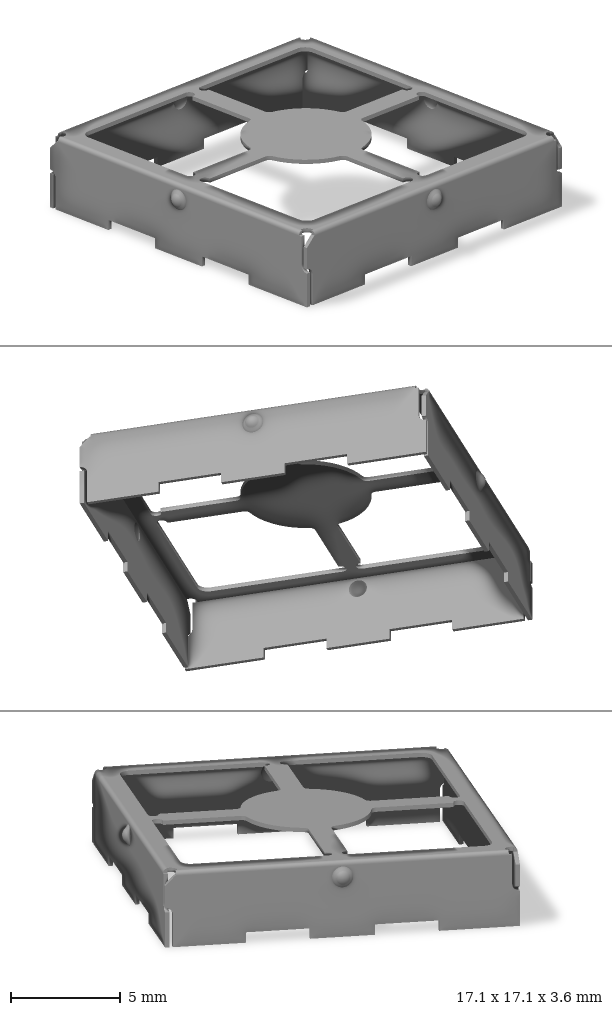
import cadquery as cq
import math


overall_width = 17.1
body_width = 16.5
height = 3.6
sheet = 0.2
half_body = body_width / 2
half_roof = half_body - sheet
bend_base = height - sheet

rim_width = 1.0
opening_radius = 0.5
arm_width = 1.06
neck_width = 0.46
neck_slot_width = 0.5
disc_radius = 3.0
disc_blend = 0.25

relief_radius = 0.3
relief_inset = 0.3
bend_setback = 0.51

wall_setback = 0.36
upper_tab_base = 1.88
lower_tab_top = 1.68
tab_chamfer = 0.46
step_radius = 0.35
foot_gap_inner = 1.5
foot_gap_outer = 4.5
foot_gap_height = 0.5

boss_height = (overall_width - body_width) / 2
boss_base_radius = 0.5
boss_dome_radius = 0.32
boss_skirt_height = 0.14
boss_level = 2.85
dimple_mouth_radius = 0.43


def roof_plane():
    """Workplane on the underside of the roof sheet."""
    return cq.Workplane("XY").workplane(offset=bend_base)


def make_spider():
    """Central disc on four straight arms, with the inner corners between them blended."""
    arm_x = roof_plane().rect(2 * half_roof, arm_width).extrude(sheet)
    arm_y = roof_plane().rect(arm_width, 2 * half_roof).extrude(sheet)
    disc = roof_plane().circle(disc_radius).extrude(sheet)
    junction_zone = cq.selectors.BoxSelector(
        (-disc_radius, -disc_radius, 0), (disc_radius, disc_radius, height)
    )
    return arm_x.union(arm_y).union(disc).edges("|Z").edges(junction_zone).fillet(disc_blend)


def make_neck_slot(opening_half, side):
    """Round-ended slot that narrows one side of the +X arm to a neck beside the rim."""
    slot_radius = neck_slot_width / 2
    slot_x = opening_half - slot_radius
    round_y = neck_width / 2 + slot_radius
    mouth_length = arm_width / 2 - round_y
    round_end = roof_plane().center(slot_x, side * round_y).circle(slot_radius).extrude(sheet)
    mouth = (
        roof_plane().center(slot_x, side * (round_y + mouth_length / 2))
        .rect(neck_slot_width, mouth_length).extrude(sheet)
    )
    return round_end.union(mouth)


def make_corner_reliefs():
    """Round relief at each roof corner, opened out to the corner by a square."""
    centre_span = 2 * (half_body - relief_inset)
    holes = (
        roof_plane().rect(centre_span, centre_span, forConstruction=True).vertices()
        .circle(relief_radius).extrude(sheet)
    )
    squares = (
        roof_plane().rect(body_width, body_width, forConstruction=True).vertices()
        .rect(2 * relief_inset, 2 * relief_inset).extrude(sheet)
    )
    return holes.union(squares)


def make_roof():
    """Flat roof rim carrying the spider across its opening."""
    opening_half = half_body - rim_width
    opening = (
        roof_plane().rect(2 * opening_half, 2 * opening_half).extrude(sheet)
        .edges("|Z").fillet(opening_radius)
    )
    roof = roof_plane().rect(2 * half_roof, 2 * half_roof).extrude(sheet)
    roof = roof.cut(opening.cut(make_spider()))
    for side in (-1, 1):
        slot = make_neck_slot(opening_half, side)
        for turn in range(4):
            roof = roof.cut(slot.rotate((0, 0, 0), (0, 0, 1), 90 * turn))
    return roof.cut(make_corner_reliefs())


def make_wall():
    """Front wall with an upper tab at its left end and a lower tab at its right end."""
    left_edge = -half_body + wall_setback
    right_edge = half_body - wall_setback
    outline = [
        (left_edge, 0),
        (left_edge, upper_tab_base),
        (-half_body, upper_tab_base),
        (-half_body, bend_base - tab_chamfer),
        (-half_body + tab_chamfer, bend_base),
        (right_edge, bend_base),
        (right_edge, lower_tab_top),
        (half_body, lower_tab_top),
        (half_body, 0),
    ]
    wall = cq.Workplane("XZ", origin=(0, -half_roof, 0)).polyline(outline).close().extrude(sheet)
    for x, z in ((left_edge, upper_tab_base), (right_edge, lower_tab_top)):
        step = cq.selectors.NearestToPointSelector((x, -half_body + sheet / 2, z))
        wall = wall.edges("|Y").edges(step).fillet(step_radius)
    foot_gap_centre = (foot_gap_inner + foot_gap_outer) / 2
    foot_gaps = (
        cq.Workplane("XZ", origin=(0, -half_roof, 0))
        .pushPoints([(side * foot_gap_centre, foot_gap_height / 2) for side in (-1, 1)])
        .rect(foot_gap_outer - foot_gap_inner, foot_gap_height).extrude(sheet)
    )
    return wall.cut(foot_gaps)


def make_bend():
    """Quarter-round fold joining the front wall to the roof."""
    half_length = half_body - bend_setback
    diagonal = sheet * math.sqrt(0.5)
    return (
        cq.Workplane("YZ", origin=(-half_length, -half_roof, bend_base))
        .lineTo(-sheet, 0)
        .threePointArc((-diagonal, diagonal), (0, sheet))
        .close()
        .extrude(2 * half_length)
    )


def make_boss():
    """Domed boss with a conical skirt, standing on the outside of the front wall."""
    dome_height = boss_height - boss_skirt_height
    sphere_radius = (boss_dome_radius**2 + dome_height**2) / (2 * dome_height)
    mid_radius = boss_dome_radius / 2
    mid_height = boss_height - sphere_radius + math.sqrt(sphere_radius**2 - mid_radius**2)
    return (
        cq.Workplane("XY")
        .lineTo(boss_base_radius, 0)
        .lineTo(boss_dome_radius, boss_skirt_height)
        .threePointArc((mid_radius, mid_height), (0, boss_height))
        .close()
        .revolve(360, (0, 0, 0), (0, 1, 0))
        .rotate((0, 0, 0), (0, 0, 1), 180)
        .translate((0, -half_body, boss_level))
    )


def make_dimple():
    """Spherical hollow behind the boss that leaves one sheet thickness at its tip."""
    depth = boss_height
    dimple_radius = (dimple_mouth_radius**2 + depth**2) / (2 * depth)
    centre_y = -half_roof - depth + dimple_radius
    return cq.Workplane("XY").sphere(dimple_radius).translate((0, centre_y, boss_level))


side_panel = make_wall().union(make_boss()).cut(make_dimple()).union(make_bend())
result = make_roof()
for turn in range(4):
    result = result.union(side_panel.rotate((0, 0, 0), (0, 0, 1), 90 * turn))